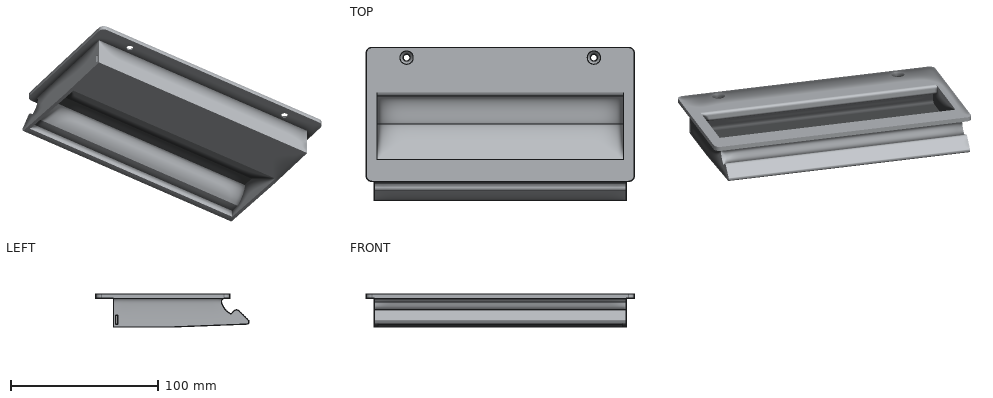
import math

import cadquery as cq


flange_length = 182.0
flange_depth = 91.0
flange_thickness = 3.0
flange_corner_radius = 4.0

screw_hole_diameter = 4.5
countersink_diameter = 9.0
countersink_angle = 90.0
screw_spacing = 127.0
screw_depth = 7.0

overall_height = 22.5
overall_depth = 104.0
body_length = 171.0
body_back = 12.0
bottom_bend = 52.0
nose_bottom_z = -20.5
nose_top_z = -18.2
nose_top_radius = 1.0
nose_bottom_radius = 1.5
neck_front = 85.4
neck_root_radius = 2.4
neck_arc_sag = 1.2
valley_depth = 91.9
crest_depth = 95.6
crest_radius = 2.2

pocket_length = 167.0
pocket_rear = 24.0
pocket_front = 76.0
pocket_floor_z = -16.4
pocket_corner_radius = 2.5
pocket_lip_front = 33.0
pocket_lip_thickness = 6.5
pocket_lip_radius = 2.0

wall = 2.0
cavity_end_wall = 2.5

slot_rear = 13.8
slot_width = 1.2
slot_top_z = -14.5
slot_height = 6.0

overcut = 1.0


def on_section(depth, z):
    """A (depth, z) point in the local coordinates of the YZ plane."""
    return (flange_depth / 2 - depth, z)


def extrude_section(section, length):
    """Close a YZ outline and extrude it along X, centred on X = 0."""
    return section.close().extrude(length / 2, both=True)


def prism(points, length):
    """Straight-sided (depth, z) profile extruded along X."""
    outline = [on_section(*point) for point in points]
    return extrude_section(cq.Workplane("YZ").polyline(outline), length)


def round_edge(solid, point, radius):
    """Fillet the X-direction edge of a prism that passes through a (depth, z) point."""
    depth, z = point
    nearest = cq.selectors.NearestToPointSelector((0, flange_depth / 2 - depth, z))
    return solid.edges("|X").edges(nearest).fillet(radius)


def make_flange():
    flange = cq.Workplane("XY").box(
        flange_length, flange_depth, flange_thickness, centered=(True, True, False)
    )
    flange = flange.translate((0, 0, -flange_thickness))
    return flange.edges("|Z").fillet(flange_corner_radius)


front_face_sum = overall_depth + nose_top_z
crest_z = front_face_sum - crest_depth
valley_z = crest_z - (crest_depth - valley_depth)
neck_root_z = -flange_thickness - neck_root_radius


def make_body():
    crest = (crest_depth, crest_z)
    nose_top = (overall_depth, nose_top_z)
    nose_bottom = (overall_depth, nose_bottom_z)
    root_middle = neck_root_radius * (1 - math.sqrt(0.5))
    section = (
        cq.Workplane("YZ")
        .moveTo(*on_section(body_back, -flange_thickness))
        .lineTo(*on_section(neck_front + neck_root_radius, -flange_thickness))
        .threePointArc(
            on_section(neck_front + root_middle, -flange_thickness - root_middle),
            on_section(neck_front, neck_root_z),
        )
        .sagittaArc(on_section(valley_depth, valley_z), neck_arc_sag)
        .lineTo(*on_section(*crest))
        .lineTo(*on_section(*nose_top))
        .lineTo(*on_section(*nose_bottom))
        .lineTo(*on_section(bottom_bend, -overall_height))
        .lineTo(*on_section(body_back, -overall_height))
    )
    body = extrude_section(section, body_length)
    for point, radius in (
        (crest, crest_radius),
        (nose_top, nose_top_radius),
        (nose_bottom, nose_bottom_radius),
    ):
        body = round_edge(body, point, radius)
    return body


def make_pocket():
    """Pocket with a rounded lip overhanging its rear end and a sloping front."""
    rear_corner = (pocket_rear, pocket_floor_z)
    lip_bottom = (pocket_lip_front, -pocket_lip_thickness)
    pocket = prism(
        [
            (pocket_lip_front, 0),
            lip_bottom,
            (pocket_rear, -pocket_lip_thickness),
            rear_corner,
            (bottom_bend, pocket_floor_z),
            (pocket_front, 0),
        ],
        pocket_length,
    )
    pocket = round_edge(pocket, rear_corner, pocket_corner_radius)
    return round_edge(pocket, lip_bottom, pocket_lip_radius)


def make_cavity():
    """Hollow that follows the underside of the pocket slope, the neck and the hook."""
    slope_angle = math.atan2(-pocket_floor_z, pocket_front - bottom_bend)
    slope_shift = wall / math.sin(slope_angle)
    slope_run = 1 / math.tan(slope_angle)
    bottom_z = -overall_height - overcut
    ceiling_z = -flange_thickness
    hook_ceiling_z = valley_z - wall
    nose_inner = front_face_sum - wall * math.sqrt(2) - hook_ceiling_z
    section = (
        cq.Workplane("YZ")
        .moveTo(*on_section(pocket_front + slope_shift + bottom_z * slope_run, bottom_z))
        .lineTo(*on_section(pocket_front + slope_shift + ceiling_z * slope_run, ceiling_z))
        .lineTo(*on_section(neck_front - wall, ceiling_z))
        .lineTo(*on_section(neck_front - wall, neck_root_z))
        .sagittaArc(on_section(valley_depth, hook_ceiling_z), neck_arc_sag)
        .lineTo(*on_section(nose_inner, hook_ceiling_z))
        .lineTo(*on_section(nose_inner, bottom_z))
    )
    return extrude_section(section, body_length - 2 * cavity_end_wall)


def make_slot():
    slot_front = slot_rear + slot_width
    slot_bottom_z = slot_top_z - slot_height
    return prism(
        [
            (slot_rear, slot_top_z),
            (slot_front, slot_top_z),
            (slot_front, slot_bottom_z),
            (slot_rear, slot_bottom_z),
        ],
        body_length + 2 * overcut,
    )


def drill_screw_holes(part):
    hole_y = flange_depth / 2 - screw_depth
    centres = [(side * screw_spacing / 2, hole_y) for side in (-1, 1)]
    top = part.copyWorkplane(cq.Workplane("XY"))
    return top.pushPoints(centres).cskHole(screw_hole_diameter, countersink_diameter, countersink_angle)


result = make_flange().union(make_body())
result = result.cut(make_pocket())
result = round_edge(result, (pocket_lip_front, 0), pocket_lip_radius)
result = result.cut(make_cavity()).cut(make_slot())
result = drill_screw_holes(result)